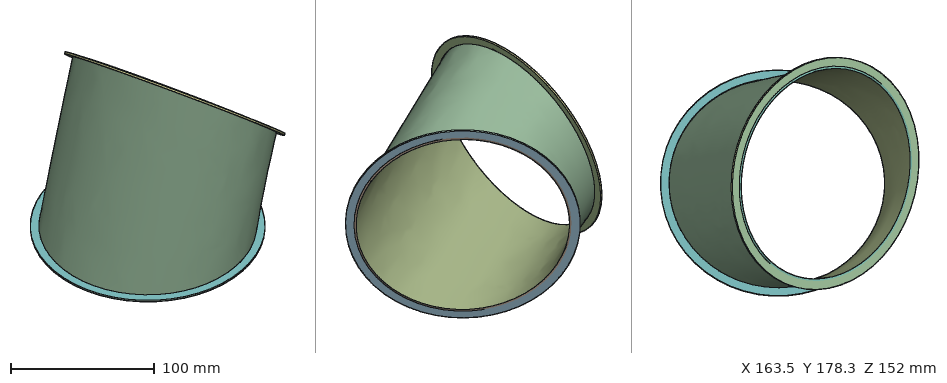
import cadquery as cq
import math

tube_diameter = 151.5
wall_thickness = 1.6
flange_diameter = 163.5
flange_thickness = 1.5
bend_angle = 45.0
leg_length = 54.8
throat_bulge = 1.8

tube_radius = tube_diameter / 2
bend = math.radians(bend_angle)
lean_angle = bend_angle / 2
lean = math.radians(lean_angle)
end_y = leg_length * math.sin(bend)
end_z = leg_length * (1 + math.cos(bend))


def end_plane(y, z, tilt):
    """Plane parallel to X whose normal leans from +Z toward +Y by tilt degrees."""
    angle = math.radians(tilt)
    normal = (0, math.sin(angle), math.cos(angle))
    return cq.Plane(origin=(0, y, z), xDir=(1, 0, 0), normal=normal)


bottom_plane = end_plane(0, 0, 0)
top_plane = end_plane(end_y, end_z, bend_angle)


def make_tube():
    """Thin wall lofted from circle to circle: straight long side, bowed short side."""
    straight_half_height = tube_radius * math.cos(lean)
    middle_half_height = straight_half_height - throat_bulge / 2
    shift = throat_bulge / 2
    middle_y = end_y / 2 - shift * math.cos(lean)
    middle_z = end_z / 2 + shift * math.sin(lean)
    middle_plane = end_plane(middle_y, middle_z, lean_angle)

    bottom = cq.Workplane(bottom_plane).circle(tube_radius).wires().val()
    middle = cq.Workplane(middle_plane).ellipse(tube_radius, middle_half_height).wires().val()
    top = cq.Workplane(top_plane).circle(tube_radius).wires().val()
    loft = cq.Solid.makeLoft([bottom, middle, top])
    skin = cq.Workplane(loft).faces("not %PLANE").val()
    return cq.Workplane(skin.thicken(-wall_thickness))


def make_flange(plane, height):
    """Flat ring around the tube end; the sign of height sets its side of the plane."""
    return (
        cq.Workplane(plane)
        .circle(flange_diameter / 2)
        .circle(tube_radius)
        .extrude(height)
    )


bottom_flange = make_flange(bottom_plane, flange_thickness)
top_flange = make_flange(top_plane, -flange_thickness)
result = make_tube().union(bottom_flange).union(top_flange)